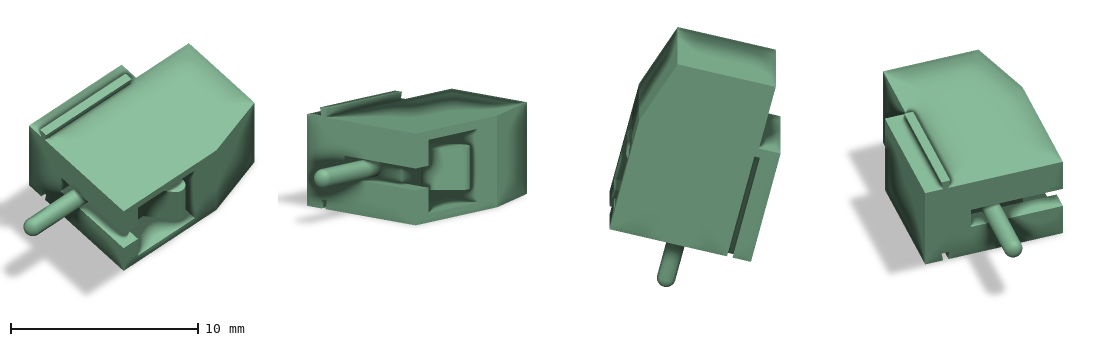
import cadquery as cq
import math


housing_width = 7.8
housing_length = 10.2
housing_height = 5.0
corner_cut = 1.2
shoulder_y = 6.5
side_centre_z = housing_height / 2

dovetail_x = 1.17
dovetail_base_width = 0.3
dovetail_top_width = 0.5
dovetail_height = 0.5
dovetail_length = 6.0

front_wall = 1.0
slot_height = 1.2
slot_left_x = 2.6
cavity_left_x = 5.9
cavity_wall = 0.5
cavity_back_y = 5.0

pin_diameter = 1.0
pin_radius = pin_diameter / 2
pin_x = housing_width / 2
pin_tip_y = -3.55

clamp_width = 2.3
clamp_thickness = 1.0
clamp_radius = clamp_thickness / 2
clamp_reach = 0.074
tip_y = 4.04
bend_x = 6.16
ramp_angle = math.radians(42)
leg_angle = math.radians(22)


def dovetail(bottom_z):
    """Dovetail bar that starts at the front face and widens upwards."""
    base = dovetail_base_width / 2
    top = dovetail_top_width / 2
    return (
        cq.Workplane("XZ", origin=(dovetail_x, 0, bottom_z))
        .polyline([(-base, 0), (base, 0), (top, dovetail_height), (-top, dovetail_height)])
        .close()
        .extrude(-dovetail_length)
    )


def make_housing():
    outline = [
        (0, 0),
        (housing_width, 0),
        (housing_width, shoulder_y),
        (housing_width - corner_cut, housing_length),
        (corner_cut, housing_length),
        (corner_cut, shoulder_y),
        (0, shoulder_y),
    ]
    block = cq.Workplane("XY").polyline(outline).close().extrude(housing_height)
    slot = cq.Workplane("XY").box(
        housing_width - slot_left_x, front_wall, slot_height, centered=(False, False, True)
    ).translate((slot_left_x, 0, side_centre_z))
    cavity = cq.Workplane("XY").box(
        housing_width - cavity_left_x,
        cavity_back_y - front_wall,
        housing_height - 2 * cavity_wall,
        centered=(False, False, True),
    ).translate((cavity_left_x, front_wall, side_centre_z))
    return block.union(dovetail(housing_height)).cut(dovetail(0)).cut(slot).cut(cavity)


def make_pin():
    """Round pin with a domed tip, standing on the floor of the slot."""
    return (
        cq.Workplane("XY", origin=(pin_x, 0, side_centre_z))
        .moveTo(0, front_wall)
        .lineTo(pin_radius, front_wall)
        .lineTo(pin_radius, pin_tip_y + pin_radius)
        .radiusArc((0, pin_tip_y), pin_radius)
        .close()
        .revolve(360, (0, 0, 0), (0, 1, 0))
    )


def make_clamp():
    """Strip with a short leg against the cavity wall and a ramp that ends in a round tip."""

    def offset(centre, distance, angle):
        """Point at a distance from a centre; the angle turns from -Y towards +X."""
        return (centre[0] + distance * math.sin(angle), centre[1] - distance * math.cos(angle))

    def on_cavity_wall(point):
        """Follow the leg from a point to the cavity wall."""
        return (cavity_left_x, point[1] + (point[0] - cavity_left_x) * math.tan(leg_angle))

    tip = (housing_width + clamp_reach - clamp_radius, tip_y)
    bend = (bend_x, tip_y - (tip[0] - bend_x) * math.tan(ramp_angle))
    middle_angle = (ramp_angle - leg_angle) / 2
    half_bend = (ramp_angle + leg_angle) / 2

    leg_start = offset(bend, clamp_radius, -leg_angle)
    bend_middle = offset(bend, clamp_radius, middle_angle)
    ramp_start = offset(bend, clamp_radius, ramp_angle)
    inner_corner = offset(bend, -clamp_radius / math.cos(half_bend), middle_angle)

    return (
        cq.Workplane("XY", origin=(0, 0, side_centre_z - clamp_width / 2))
        .moveTo(*on_cavity_wall(leg_start))
        .lineTo(*leg_start)
        .threePointArc(bend_middle, ramp_start)
        .lineTo(*offset(tip, clamp_radius, ramp_angle))
        .threePointArc(
            offset(tip, clamp_radius, ramp_angle + math.pi / 2),
            offset(tip, -clamp_radius, ramp_angle),
        )
        .lineTo(*inner_corner)
        .lineTo(*on_cavity_wall(inner_corner))
        .close()
        .extrude(clamp_width)
    )


housing = make_housing()
pin = make_pin()
clamp = make_clamp()

result = cq.Compound.makeCompound([housing.val(), pin.val(), clamp.val()])